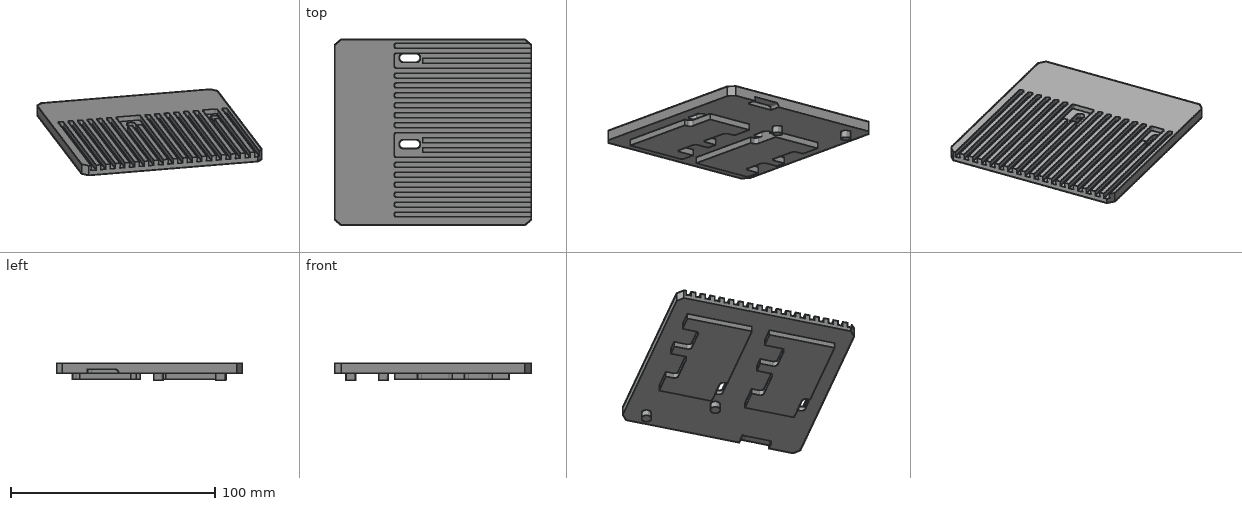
import cadquery as cq

length = 96.35
width = 91.0
thickness = 5.0
corner_cut_x = 3.2
corner_cut_y = 2.8
left_edge = -length / 2
right_edge = length / 2
back_edge = width / 2

groove_count = 18
groove_depth = 2.5
groove_start = left_edge + 29.3
groove_end_radius = 1
back_margin = 1.9
front_margin = 4.0
groove_width = (width - back_margin - front_margin) / (2 * groove_count - 1)
groove_pitch = 2 * groove_width
groove_floor = thickness - groove_depth

short_rib_start = left_edge + 43.3
pocket_groove_groups = [(1, 2), (9, 11)]

slot_length = 10.2
slot_width = 4.2
slot_middle_x = left_edge + 36.8
slot_offsets_from_back = [9.1, 51.3]

pad_height = 3.0
pad_left = left_edge + 29.4
pad_right = left_edge + 85.5
pad_fillet = 1.9
pad_relief_right = left_edge + 44.3
pad_notches = [(left_edge + 40.6, left_edge + 57.7), (left_edge + 63.4, left_edge + 77.3)]
pad_notch_depth = 5.8

rear_pad_back = 7.7
rear_pad_relief = 11.3
rear_pad_feet = [36.4, 39.0, 41.0]
front_pad_back = 50.0
front_pad_relief = 53.4
front_pad_feet = [80.4, 83.1, 83.1]

pin_height = 3.5
pin_diameter = 4.8
pin_places = [
    (left_edge + 8.0, back_edge - 80.3),
    (left_edge + 24.0, back_edge - 49.9),
]

recess_depth = 5.8
recess_height = 2.0
recess_back = back_edge - 15.1
recess_front = back_edge - 30.35
recess_radius = 1.9


def block(x_min, x_max, y_min, y_max, z_min, z_max):
    """Box between the given limits."""
    return cq.Workplane("XY").box(
        x_max - x_min, y_max - y_min, z_max - z_min, centered=False
    ).translate((x_min, y_min, z_min))


def make_plate():
    """Plate with its four vertical corners cut off."""
    x, y = length / 2, width / 2
    cut_x, cut_y = x - corner_cut_x, y - corner_cut_y
    outline = [
        (-cut_x, -y), (cut_x, -y), (x, -cut_y), (x, cut_y),
        (cut_x, y), (-cut_x, y), (-x, cut_y), (-x, -cut_y),
    ]
    return cq.Workplane("XY").polyline(outline).close().extrude(thickness)


def groove_back(index):
    """Y of the +Y wall of a groove, counted from the +Y edge."""
    return back_edge - back_margin - index * groove_pitch


def make_groove(first, last):
    """Cutter from the back wall of one groove to the front wall of another."""
    y_min = groove_back(last) - groove_width
    cutter = block(groove_start, right_edge, y_min, groove_back(first), groove_floor, thickness)
    return cutter.edges("|Z and <X").fillet(groove_end_radius)


def make_short_rib(index):
    """Shortened rib on a pocket floor, between a groove and the next one."""
    y_max = groove_back(index) - groove_width
    return block(short_rib_start, right_edge, y_max - groove_width, y_max, groove_floor, thickness)


def make_grooves():
    """All grooves and pockets as one cutter."""
    pocketed = [i for first, last in pocket_groove_groups for i in range(first, last + 1)]
    cutter = cq.Workplane("XY")
    for index in range(groove_count):
        if index not in pocketed:
            cutter = cutter.add(make_groove(index, index))
    for first, last in pocket_groove_groups:
        pocket = make_groove(first, last)
        for index in range(first, last):
            pocket = pocket.cut(make_short_rib(index))
        cutter = cutter.add(pocket)
    return cutter.combine()


def make_slots():
    """Mounting slot cutters."""
    places = [(slot_middle_x, back_edge - offset) for offset in slot_offsets_from_back]
    return cq.Workplane("XY").pushPoints(places).slot2D(slot_length, slot_width).extrude(thickness)


def make_pad(back_offset, relief_offset, foot_offsets):
    """Pad with a slot relief in its back left corner and notches between its three front feet.

    The offsets are distances from the +Y edge of the plate.
    """
    (notch_1_left, notch_1_right), (notch_2_left, notch_2_right) = pad_notches
    back = back_edge - back_offset
    relief_wall = back_edge - relief_offset
    foot_1, foot_2, foot_3 = [back_edge - offset for offset in foot_offsets]
    notch_floor = foot_1 + pad_notch_depth
    outline = [
        (pad_left, relief_wall),
        (pad_left, foot_1), (notch_1_left, foot_1), (notch_1_left, notch_floor),
        (notch_1_right, notch_floor), (notch_1_right, foot_2), (notch_2_left, foot_2),
        (notch_2_left, notch_floor), (notch_2_right, notch_floor), (notch_2_right, foot_3),
        (pad_right, foot_3), (pad_right, back),
        (pad_relief_right, back), (pad_relief_right, relief_wall),
    ]
    inner_corners = [(x, notch_floor) for notch in pad_notches for x in notch]
    inner_corners.append((pad_relief_right, relief_wall))
    pad = cq.Workplane("XY").polyline(outline).close().extrude(-pad_height)
    for x, y in inner_corners:
        pad = pad.edges(cq.NearestToPointSelector((x, y, -pad_height / 2))).fillet(pad_fillet)
    return pad


def make_pins():
    """Round locating pins."""
    return cq.Workplane("XY").pushPoints(pin_places).circle(pin_diameter / 2).extrude(-pin_height)


def make_recess():
    """Recess cutter with one rounded inner corner and one rounded roof edge."""
    inner = left_edge + recess_depth
    cutter = block(left_edge, inner, recess_front, recess_back, 0, recess_height)
    corner = cq.NearestToPointSelector((inner, recess_back, recess_height / 2))
    roof_edge = cq.NearestToPointSelector((left_edge + recess_depth / 2, recess_front, recess_height))
    cutter = cutter.edges(corner).fillet(recess_radius)
    return cutter.edges(roof_edge).fillet(recess_radius)


result = (
    make_plate()
    .cut(make_grooves())
    .cut(make_slots())
    .cut(make_recess())
    .union(make_pad(rear_pad_back, rear_pad_relief, rear_pad_feet))
    .union(make_pad(front_pad_back, front_pad_relief, front_pad_feet))
    .union(make_pins())
)